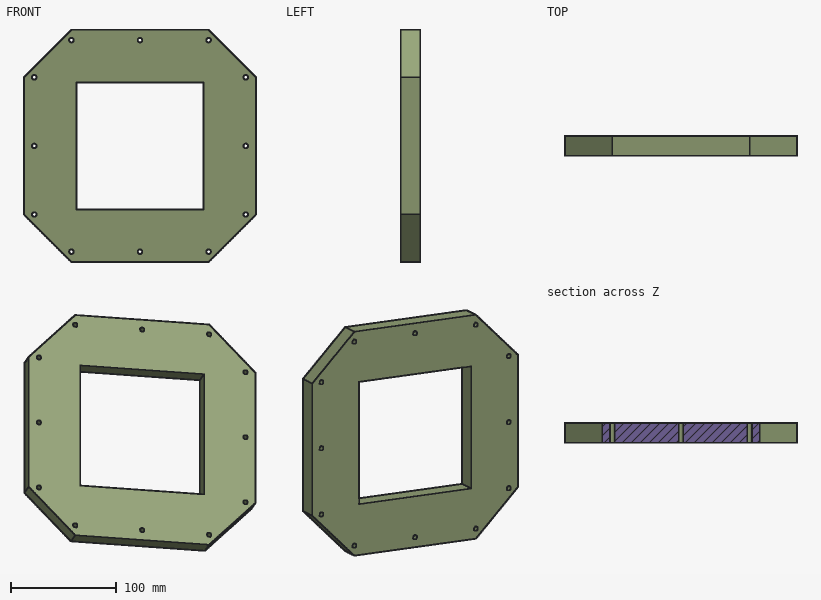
import cadquery as cq

plate_width = 220.0
plate_thickness = 19.0
corner_cut = 45.0
window_width = 120.0
hole_diameter = 4.2
hole_edge_distance = 10.0

flat_half_length = plate_width / 2 - corner_cut
hole_offset = plate_width / 2 - hole_edge_distance

plate = (
    cq.Workplane("XZ")
    .rect(plate_width, plate_width)
    .extrude(plate_thickness / 2, both=True)
    .edges("|Y")
    .chamfer(corner_cut)
)

window = (
    cq.Workplane("XZ")
    .rect(window_width, window_width)
    .extrude(plate_thickness, both=True)
)

hole_points = []
for along in (-flat_half_length, 0, flat_half_length):
    for across in (-hole_offset, hole_offset):
        hole_points.append((along, across))
        hole_points.append((across, along))

holes = (
    cq.Workplane("XZ")
    .pushPoints(hole_points)
    .circle(hole_diameter / 2)
    .extrude(plate_thickness, both=True)
)

result = plate.cut(window).cut(holes)